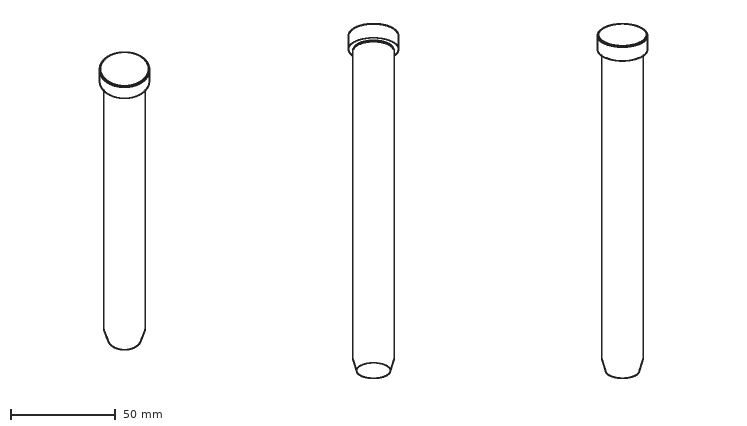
import cadquery as cq

total_length = 180.0
head_diameter = 24.0
head_height = 8.0
head_chamfer = 0.5
shaft_diameter = 20.0

groove_width = 0.5
groove_depth = 0.5

tip_length = 7.0
tip_diameter = 16.2

head_radius = head_diameter / 2
shaft_radius = shaft_diameter / 2
tip_radius = tip_diameter / 2
groove_radius = shaft_radius - groove_depth
head_bottom = total_length - head_height
groove_bottom = head_bottom - groove_width

profile = (
    cq.Workplane("XZ")
    .lineTo(tip_radius, 0)
    .lineTo(shaft_radius, tip_length)
    .lineTo(shaft_radius, groove_bottom - groove_depth)
    .lineTo(groove_radius, groove_bottom)
    .lineTo(groove_radius, head_bottom)
    .lineTo(head_radius, head_bottom)
    .lineTo(head_radius, total_length - head_chamfer)
    .lineTo(head_radius - head_chamfer, total_length)
    .lineTo(0, total_length)
    .close()
)

result = profile.revolve(360, (0, 0, 0), (0, 1, 0))